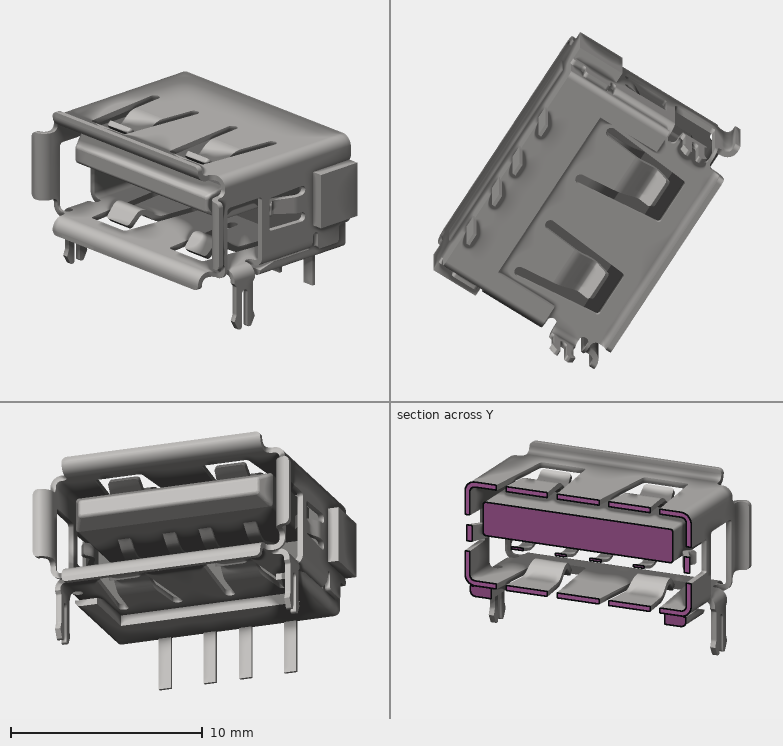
import cadquery as cq
import math


sheet = 0.3
cavity_width = 12.5
cavity_height = 5.12
shell_width = cavity_width + 2 * sheet
shell_height = cavity_height + 2 * sheet
shell_rear = 10.0
bend_inner = 0.3
bend_outer = bend_inner + sheet
half_width = shell_width / 2
half_height = shell_height / 2
floor_edge = half_width - bend_outer

lip_reach = 0.6
lip_bend_inner = 0.34
lip_start = lip_bend_inner + sheet
lip_straight = lip_reach - lip_bend_inner
lip_corner = 0.27
wide_lip = 11.1
tall_lip = 3.75
relief_depth = 1.02
relief_fillet = 0.32

window_front = 1.18
window_rear = 3.65
window_top = 4.01
window_fillet = 0.2

leg_center = (window_front + window_rear) / 2
leg_width = 1.45
leg_shank_width = 1.17
leg_bottom = -3.0
leg_shoulder_top = -0.38
leg_shoulder_bottom = -0.56
leg_barb_start = -2.15
leg_barb_widest = -2.5
leg_tip_width = 0.9
leg_tip_fillet = 0.1
leg_shoulder_fillet = 0.15
leg_barb_fillet = 0.3
leg_relief_depth = 0.3
leg_relief_fillet = 0.24
leg_slot_width = 0.41
leg_slot_top = -0.86

notch_front = 7.3
ear_bottom = 1.43
ear_top = 4.42
finger_bottom = 0.98
tab_front = 7.65
tab_rear = 9.15
tab_fillet = 0.18
tab_slot_fillet = 0.17
finger_inset = 0.05
wall_end_fillet = 0.2

spring_offset = 2.97
prism_reach = 2.0
wide_spring_sizes = dict(
    root=6.28,
    front=1.53,
    halves=(1.77, 1.3),
    blade_halves=(1.23, 0.77),
    corner=0.2,
    tip_corner=0.18,
    bend_start=4.5,
    steps=[(0, 1.0, 35), (0.65, 0.45, -80), (0.72, 0, 0)],
    smooth=True,
)
side_spring_sizes = dict(
    root=6.48,
    front=4.19,
    halves=(1.0, 0.92),
    blade_halves=(0.48, 0.33),
    corner=0.12,
    tip_corner=0.14,
    bend_start=6.37,
    steps=[(0, 0.56, 30), (1.06, 0.3, -75), (0.36, 0, 0)],
    smooth=False,
)
pick_margin = 0.01

housing_rear = 9.9
ear_reach = 7.15
base_bottom = -0.58
base_front = 3.8
base_arm_width = 1.25
base_ramp_start = 4.75
base_nose_top = -0.24
base_fillet = 0.33
boss_bottom = 2.04
boss_top = 3.76

tongue_width = 11.0
tongue_bottom = 2.84
tongue_top = 4.7
tongue_tip = 1.1
tongue_chamfer_start = 2.0
tongue_tip_inset = 0.48
tongue_fillet = 0.18
tongue_tip_fillet = 0.2

contact_positions = (-3.5, -1.0, 1.0, 3.5)
contact_width = 0.68
contact_thickness = 0.15
contact_root = (7.4, 2.76)
contact_slope = 15
contact_bend = 1.2
contact_rise = 40
contact_run = 2.04
contact_tip_length = 0.7
pin_thickness = 0.18
pin_rear = 9.96
pin_top = -0.15
pin_bottom = -3.4


def box(x_range, y_range, z_range):
    """Block between the given limits."""
    size = [high - low for low, high in (x_range, y_range, z_range)]
    corner = (x_range[0], y_range[0], z_range[0])
    return cq.Workplane("XY").box(*size, centered=False).translate(corner)


def both_sides(body):
    """A feature together with its mirror image on the other side."""
    return body.union(body.mirror("YZ"))


def bent_strip(start, heading, steps, width, thickness, smooth=False):
    """Strip centred on X = 0 whose mid-line in the YZ plane follows the steps.

    heading is in degrees from +Y toward +Z. Each step is a straight length, then a
    mid-line bend radius and a turn in degrees (positive turns from +Y toward +Z).
    A smooth strip follows one flowing curve through the same points up to its straight tip.
    """
    y, z = start
    angle = math.radians(heading)
    normal = (0, math.cos(angle), math.sin(angle))
    points = [start]
    path = cq.Workplane("YZ").moveTo(y, z)
    for length, radius, turn in steps:
        if length:
            y += length * math.cos(angle)
            z += length * math.sin(angle)
            path = path.lineTo(y, z)
            points.append((y, z))
        if turn:
            side = math.copysign(radius, turn)
            center_y = y - side * math.sin(angle)
            center_z = z + side * math.cos(angle)
            middle = angle + math.radians(turn) / 2
            angle += math.radians(turn)
            y = center_y + side * math.sin(angle)
            z = center_z - side * math.cos(angle)
            mid_point = (center_y + side * math.sin(middle), center_z - side * math.cos(middle))
            path = path.threePointArc(mid_point, (y, z))
            points += [mid_point, (y, z)]
    if smooth:
        end_tangents = [normal[1:], (math.cos(angle), math.sin(angle))]
        path = cq.Workplane("YZ").spline(points[:-1], tangents=end_tangents).lineTo(*points[-1])
    section = cq.Plane(origin=(0, *start), xDir=(1, 0, 0), normal=normal)
    return cq.Workplane(section).rect(width, thickness).sweep(path)


def onto_wall(feature, wall, along=0):
    """Move a feature made on a wall at Z = 0 (outer face, outward = +Z) onto a shell wall."""
    turn, reach = {
        "roof": (0, half_height),
        "right": (90, half_width),
        "floor": (180, half_height),
        "left": (270, half_width),
    }[wall]
    placed = feature.translate((along, 0, reach))
    return placed.rotate((0, 0, 0), (0, 1, 0), turn).translate((0, 0, half_height))


def lip(width):
    """Flared lip for a wall at Z = 0, turned outward with rounded tip corners."""
    mid_radius = lip_bend_inner + sheet / 2
    steps = [(0, mid_radius, -90), (lip_straight, 0, 0)]
    strip = bent_strip((lip_start, -sheet / 2), 180, steps, width, sheet)
    return strip.edges("|Y").fillet(lip_corner)


def tapered_outline(root, front, root_half, front_half):
    """Tall trapezoid prism narrowing from the root to the front."""
    points = [(-root_half, root), (root_half, root), (front_half, front), (-front_half, front)]
    return cq.Workplane("XY").polyline(points).close().extrude(prism_reach, both=True)


def contact_spring(root, front, halves, blade_halves, corner, tip_corner, bend_start, steps, smooth):
    """Slot to cut and bent blade to add, for a spring on a wall at Z = 0.

    halves and blade_halves give the half widths of the slot and the blade at root and front.
    """
    slot_radius = (halves[0] - blade_halves[0]) / 2
    end = halves[0] - slot_radius
    ends = cq.Workplane("XY").pushPoints([(-end, root), (end, root)]).circle(slot_radius)
    ends = ends.extrude(prism_reach, both=True)
    blade = tapered_outline(root, front, *blade_halves)
    flat_blade = blade.intersect(box((-half_width, half_width), (bend_start, shell_rear), (-sheet, 0)))
    slot = tapered_outline(root, front, *halves).edges("|Z and <Y").fillet(corner).union(ends).cut(flat_blade)
    slot = slot.intersect(box((-half_width, half_width), (0, shell_rear), (-sheet, 0)))
    strip = bent_strip((bend_start, -sheet / 2), 180, steps, 2 * halves[0], sheet, smooth)
    strip = strip.intersect(blade)
    return slot, strip.faces("<Y").edges("not |X").fillet(tip_corner)


def shell_tube():
    """Plain rectangular sleeve with rounded bends, from the lips to the rear."""
    def sleeve(width, height, radius):
        tube = box((-width / 2, width / 2), (lip_start, shell_rear), (-height / 2, height / 2))
        return tube.edges("|Y").fillet(radius).translate((0, 0, half_height))

    outer = sleeve(shell_width, shell_height, bend_outer)
    return outer.cut(sleeve(cavity_width, cavity_height, bend_inner))


def corner_reliefs():
    """Notches that free the four lips from each other at the mouth corners."""
    notch = box((wide_lip / 2, half_width), (0, relief_depth), (tall_lip / 2, half_height))
    notch = notch.edges(">Y and (<X or <Z)").fillet(relief_fillet)
    notches = both_sides(notch)
    notches = notches.union(notches.mirror("XY"))
    return notches.translate((0, 0, half_height))


def side_windows():
    """Openings through the walls and lower corners, with round reliefs into the floor beside the legs."""
    window = box((floor_edge, half_width), (window_front, window_rear), (0, window_top))
    window = window.edges("|X and >Z").fillet(window_fillet)
    slit = (window_rear - window_front - leg_width) / 2
    for front in (window_front, window_rear - slit):
        relief = box((floor_edge - leg_relief_depth, floor_edge), (front, front + slit), (0, sheet))
        window = window.union(relief.edges("|Z and <X").fillet(leg_relief_fillet))
    return both_sides(window)


def rear_openings():
    """Floor and lower corner clearance, ear notches and the outline of the wall tabs."""
    floor_gap = box((-half_width + sheet, half_width - sheet), (notch_front, shell_rear), (0, bend_outer))
    side = (floor_edge, half_width)
    ear_notch = box(side, (notch_front, shell_rear), (ear_bottom, ear_top))
    slot = box(side, (notch_front, tab_front), (0, finger_bottom))
    slot = slot.edges("|X and >Z").fillet(tab_slot_fillet)
    corner = box(side, (tab_rear, shell_rear), (0, finger_bottom))
    corner = corner.edges("|X and >Z and <Y").fillet(tab_fillet)
    end = box(side, (shell_rear - finger_inset, shell_rear), (finger_bottom, ear_bottom))
    return floor_gap.union(both_sides(ear_notch.union(slot).union(corner).union(end)))


def wall_tabs():
    """Flat lower ends of the walls, in place of the corner bends behind the ear notch."""
    tab = box((half_width - sheet, half_width), (tab_front, tab_rear), (0, finger_bottom + sheet))
    return both_sides(tab.edges("|X and <Z").fillet(tab_fillet))


def legs():
    """Split solder legs bent down from the floor edges."""
    mid_radius = bend_inner + sheet / 2
    straight = -bend_inner - leg_bottom
    steps = [(0, mid_radius, -90), (straight, 0, 0)]
    strip = bent_strip((floor_edge, sheet / 2), 0, steps, leg_width, sheet)
    strip = strip.rotate((0, 0, 0), (0, 0, 1), -90)
    half_outline = [
        (0, sheet),
        (leg_width / 2, sheet),
        (leg_width / 2, leg_shoulder_top),
        (leg_shank_width / 2, leg_shoulder_bottom),
        (leg_shank_width / 2, leg_barb_start),
        (leg_width / 2, leg_barb_widest),
        (leg_tip_width / 2, leg_bottom),
        (0, leg_bottom),
    ]
    outline = cq.Workplane("YZ").polyline(half_outline).close().extrude(half_width)
    outline = outline.union(outline.mirror("XZ"))
    slot_radius = leg_slot_width / 2
    slot = box((0, half_width), (-slot_radius, slot_radius), (leg_bottom, leg_slot_top - slot_radius))
    round_end = cq.Workplane("YZ").center(0, leg_slot_top - slot_radius).circle(slot_radius)
    outline = outline.cut(slot).cut(round_end.extrude(half_width))
    outline = outline.edges("|X and <Z").fillet(leg_tip_fillet)
    for z, radius in ((leg_shoulder_bottom, leg_shoulder_fillet), (leg_barb_start, leg_barb_fillet)):
        low = (0, -leg_width, z - pick_margin)
        high = (half_width, leg_width, z + pick_margin)
        neck = cq.selectors.BoxSelector(low, high)
        outline = outline.edges("|X").edges(neck).fillet(radius)
    return both_sides(strip.intersect(outline).translate((0, leg_center, 0)))


def round_wall_ends(shell):
    """Round the rear corners of the side walls above and below the ear notch."""
    finger_rear = shell_rear - finger_inset
    for y, z in ((shell_rear, ear_top), (finger_rear, ear_bottom), (finger_rear, finger_bottom)):
        low = (-shell_width, y - pick_margin, z - pick_margin)
        high = (shell_width, y + pick_margin, z + pick_margin)
        corner = cq.selectors.BoxSelector(low, high)
        shell = shell.edges("|X").edges(corner).fillet(wall_end_fillet)
    return shell


def make_shell():
    """Bent metal shell with lips, solder legs and contact springs."""
    shell = shell_tube()
    lip_widths = {"roof": wide_lip, "floor": wide_lip, "left": tall_lip, "right": tall_lip}
    for wall, width in lip_widths.items():
        shell = shell.union(onto_wall(lip(width), wall))
    shell = shell.cut(corner_reliefs()).cut(side_windows()).cut(rear_openings())
    shell = round_wall_ends(shell.union(wall_tabs())).union(legs())

    wide_spring = contact_spring(**wide_spring_sizes)
    side_spring = contact_spring(**side_spring_sizes)
    placements = [(side_spring, wall, 0) for wall in ("left", "right")]
    for wall in ("roof", "floor"):
        placements += [(wide_spring, wall, x) for x in (-spring_offset, spring_offset)]
    for (slot, blade), wall, along in placements:
        shell = shell.cut(onto_wall(slot, wall, along)).union(onto_wall(blade, wall, along))
    return shell


def tongue():
    """Contact tongue with rounded edges and a tapered tip."""
    bar_height = tongue_top - tongue_bottom
    middle = (tongue_top + tongue_bottom) / 2
    length = (tongue_chamfer_start, notch_front)
    bar = box((-tongue_width / 2, tongue_width / 2), length, (tongue_bottom, tongue_top))
    bar = bar.edges("|Y").fillet(tongue_fillet)
    tip_width = tongue_width - 2 * tongue_tip_inset
    tip_height = bar_height - 2 * tongue_tip_inset
    tip_place = cq.Location(cq.Vector(0, 0, tongue_chamfer_start - tongue_tip))
    tip_root = cq.Sketch().rect(tongue_width, bar_height).vertices().fillet(tongue_fillet)
    tip_end = cq.Sketch().rect(tip_width, tip_height).vertices().fillet(tongue_fillet)
    tip = cq.Workplane("XZ", origin=(0, tongue_chamfer_start, middle))
    tip = tip.placeSketch(tip_root, tip_end.moved(tip_place)).loft()
    tip = tip.faces("<Y").edges().fillet(tongue_tip_fillet)
    return bar.union(tip)


def base():
    """Plate below the shell, with two arms under the floor edges that ramp down to low noses."""
    side = [
        (housing_rear, base_bottom),
        (base_front, base_bottom),
        (base_front, base_nose_top),
        (base_ramp_start, 0),
        (housing_rear, 0),
    ]
    plate = cq.Workplane("YZ").polyline(side).close().extrude(cavity_width / 2, both=True)
    plate = plate.edges("|Y and <Z").fillet(base_fillet)
    gap = cavity_width / 2 - base_arm_width
    return plate.cut(box((-gap, gap), (base_front, notch_front), (base_bottom, 0)))


def contact(x):
    """Spring contact under the tongue and its solder pin down the back."""
    steps = [(contact_run, contact_bend, -contact_slope - contact_rise), (contact_tip_length, 0, 0)]
    blade = bent_strip(contact_root, 180 + contact_slope, steps, contact_width, contact_thickness)
    half = contact_width / 2
    pin = box((-half, half), (pin_rear - pin_thickness, pin_rear), (pin_bottom, pin_top))
    return blade.union(pin).translate((x, 0, 0))


def make_insulator():
    """Moulded housing with its four contacts."""
    inside = cavity_width / 2
    rear = (notch_front, housing_rear)
    block = box((-inside, inside), rear, (0, shell_height - sheet)).edges("|Y and >Z").fillet(bend_inner)
    ears = box((-ear_reach, ear_reach), rear, (ear_bottom, ear_top))
    boss = box((-tongue_width / 2, tongue_width / 2), (housing_rear, shell_rear), (boss_bottom, boss_top))
    body = block.union(ears).union(boss).union(base()).union(tongue())
    for x in contact_positions:
        body = body.union(contact(x))
    return body


shell = make_shell()
insulator = make_insulator()
result = cq.Compound.makeCompound([*shell.solids().vals(), *insulator.solids().vals()])